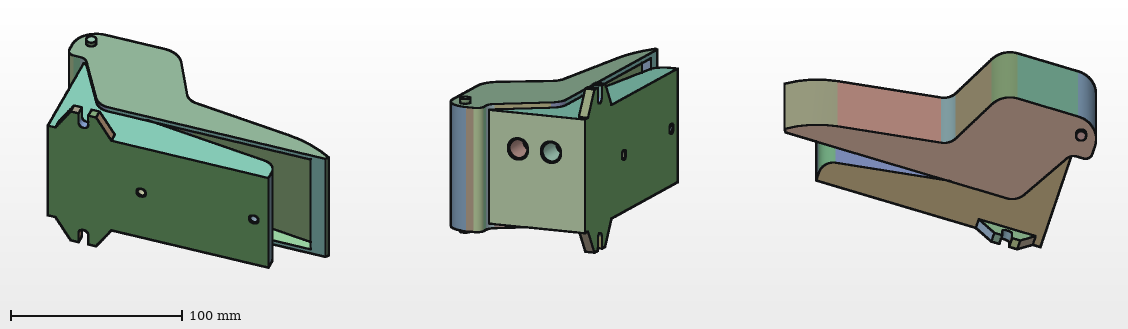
import cadquery as cq
import math


length = 176.0
height = 85.5
pedal_width = 74.6
body_width = 68.3
slope = math.tan(math.radians(8))

pedal_bottom = 24.3
heel_bottom = 61.5
heel_radius = 15.0
heel_lower_radius = 4.2
throat_x = 11.8
throat_radius = 6.0
toe_x = throat_x + (heel_bottom - pedal_bottom) / math.tan(math.radians(60))
toe_radius = 10.5
crown_x = 61.2
crown_radius = 15.0
step_x = 81.1
step_y = 46.5
step_radius = 9.7
nose_start_x = 147.0
nose_start_y = step_y - (nose_start_x - step_x) * slope
tip_y = 26.2
tip_cut = 1.4

roof = 4.4
pocket_start_x = 42.2
pocket_end_x = 165.5

body_x = 11.0
body_end_x = 148.2
body_end_y = 13.0
body_nose_radius = 8.8
wedge_start_y = body_end_y + (body_end_x - pocket_start_x) * slope

pin_x = 10.0
pin_y = 75.5
pin_diameter = 6.0
pin_length = 80.3

ear_span = 98.0
ear_thickness = 5.8
ear_root_width = 34.8
ear_tip_width = 15.8
ear_x = 33.0
slot_width = 6.0
slot_span = 77.8

port_diameter = 11.5
port_chamfer = 0.7
port_depth = 21.1
port_heights = (21.5, 42.5)
port_z = 12.5
screw_diameter = 5.0
screw_chamfer = 0.5
screw_depth = 8.8
screw_positions = (69.0, 139.0)


def round_edge(solid, x, y, radius):
    """Round the width-wise edge passing through (x, y)."""
    return solid.edges(cq.selectors.NearestToPointSelector((x, y, 0))).fillet(radius)


def centered_prism(sketch, width):
    """Extrude a profile symmetrically about the middle plane."""
    return sketch.extrude(width / 2, both=True)


def make_pedal():
    outline = (
        cq.Workplane("XY")
        .moveTo(0, height)
        .lineTo(crown_x, height)
        .lineTo(step_x, step_y)
        .lineTo(nose_start_x, nose_start_y)
        .tangentArcPoint((length, tip_y), relative=False)
        .lineTo(length - tip_cut, pedal_bottom)
        .lineTo(toe_x, pedal_bottom)
        .lineTo(throat_x, heel_bottom)
        .lineTo(0, heel_bottom)
        .close()
    )
    pedal = centered_prism(outline, pedal_width)
    rounded_corners = (
        (0, height, heel_radius),
        (0, heel_bottom, heel_lower_radius),
        (throat_x, heel_bottom, throat_radius),
        (toe_x, pedal_bottom, toe_radius),
        (crown_x, height, crown_radius),
        (step_x, step_y, step_radius),
    )
    for x, y, radius in rounded_corners:
        pedal = round_edge(pedal, x, y, radius)
    return pedal


def make_pocket():
    """Space under the pedal roof, between the two side walls."""
    outline = (
        cq.Workplane("XY")
        .moveTo(pocket_start_x, 0)
        .lineTo(pocket_start_x, height - roof)
        .lineTo(crown_x, height - roof)
        .lineTo(step_x, step_y - roof)
        .lineTo(pocket_end_x, step_y - roof - (pocket_end_x - step_x) * slope)
        .lineTo(pocket_end_x, 0)
        .close()
    )
    pocket = centered_prism(outline, body_width)
    pocket = round_edge(pocket, crown_x, height - roof, crown_radius)
    return round_edge(pocket, step_x, step_y - roof, step_radius)


def make_body():
    outline = (
        cq.Workplane("XY")
        .moveTo(body_x, 0)
        .lineTo(body_end_x, 0)
        .lineTo(body_end_x, body_end_y)
        .lineTo(pocket_start_x, wedge_start_y)
        .lineTo(pocket_start_x, heel_bottom)
        .lineTo(body_x, heel_bottom)
        .close()
    )
    body = centered_prism(outline, body_width)
    return round_edge(body, body_end_x, body_end_y, body_nose_radius)


def make_ears():
    """Base plate with a slotted, tapered ear on each side."""
    root_z = body_width / 2
    tip_z = ear_span / 2
    plate = cq.Workplane("XZ").polyline([
        (ear_x - ear_root_width / 2, root_z),
        (ear_x - ear_tip_width / 2, tip_z),
        (ear_x + ear_tip_width / 2, tip_z),
        (ear_x + ear_root_width / 2, root_z),
        (ear_x + ear_root_width / 2, -root_z),
        (ear_x + ear_tip_width / 2, -tip_z),
        (ear_x - ear_tip_width / 2, -tip_z),
        (ear_x - ear_root_width / 2, -root_z),
    ]).close().extrude(-ear_thickness)
    slot_round_z = slot_span / 2 + slot_width / 2
    slot = (
        cq.Workplane("XZ")
        .moveTo(ear_x - slot_width / 2, tip_z)
        .lineTo(ear_x - slot_width / 2, slot_round_z)
        .threePointArc((ear_x, slot_span / 2), (ear_x + slot_width / 2, slot_round_z))
        .lineTo(ear_x + slot_width / 2, tip_z)
        .close()
        .extrude(-ear_thickness)
    )
    return plate.cut(slot).cut(slot.mirror("XY"))


def blind_hole(origin, direction, diameter, depth, chamfer):
    """Blind hole cutter with a chamfered mouth at the origin."""
    plane = cq.Plane(origin=origin, xDir=(0, 0, 1), normal=direction)
    bore = cq.Workplane(plane).circle(diameter / 2).extrude(depth)
    mouth = (
        cq.Workplane(plane)
        .circle(diameter / 2 + chamfer)
        .workplane(offset=chamfer)
        .circle(diameter / 2)
        .loft()
    )
    return bore.union(mouth)


pin = centered_prism(cq.Workplane("XY").center(pin_x, pin_y).circle(pin_diameter / 2), pin_length)

result = make_pedal().cut(make_pocket()).union(make_body()).union(make_ears()).union(pin)
for y in port_heights:
    result = result.cut(
        blind_hole((body_x, y, port_z), (1, 0, 0), port_diameter, port_depth, port_chamfer)
    )
for x in screw_positions:
    result = result.cut(
        blind_hole((x, 0, 0), (0, 1, 0), screw_diameter, screw_depth, screw_chamfer)
    )